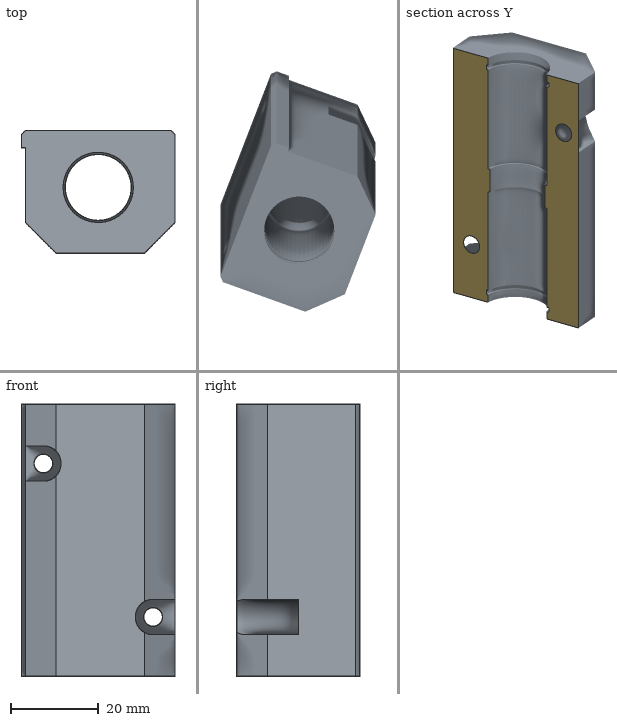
import cadquery as cq

width = 35.0
depth = 28.0
height = 62.0
half_width = width / 2
half_height = height / 2

lip_width = 0.9
lip_depth = 4.0
rear_chamfer = 1.0
front_chamfer = 7.0

shoulder_radius = 7.5
seat_radius = 8.0
seat_depth = 28.0
groove_radius = 8.5
groove_from_end = 2.0
groove_height = 1.0
bore_from_rear = 13.0

pocket_radius = 4.0
pocket_depth = 14.0
screw_hole_radius = 2.1
screw_from_side = 5.0
screw_from_end = 13.5

rear_y = bore_from_rear
front_y = rear_y - depth
wall_x = half_width - lip_width


def make_block():
    """Extruded profile with chamfered corners and the left locating lip."""
    shoulder_y = front_y + front_chamfer
    profile = [
        (-half_width, rear_y - rear_chamfer),
        (-half_width + rear_chamfer, rear_y),
        (half_width - rear_chamfer, rear_y),
        (half_width, rear_y - rear_chamfer),
        (half_width, shoulder_y),
        (half_width - front_chamfer, front_y),
        (-wall_x + front_chamfer, front_y),
        (-wall_x, shoulder_y),
        (-wall_x, rear_y - lip_depth),
        (-half_width, rear_y - lip_depth),
    ]
    block = cq.Workplane("XY").polyline(profile).close().extrude(height)
    return block.translate((0, 0, -half_height))


def bore_cylinder(radius, length):
    """Cylinder on the bore axis, starting at the bottom face."""
    return cq.Workplane("XY").workplane(offset=-half_height).circle(radius).extrude(length)


def make_bore():
    """Through bore with a grooved bearing seat at both ends."""
    bore = bore_cylinder(shoulder_radius, height)
    seat = bore_cylinder(seat_radius, seat_depth)
    groove = bore_cylinder(groove_radius, groove_height).translate((0, 0, groove_from_end))
    lower_end = seat.union(groove)
    return bore.union(lower_end).union(lower_end.mirror("XY"))


def make_screw_pocket(side):
    """Round-ended pocket and screw hole; side is -1 for upper left, 1 for lower right."""
    x = side * (half_width - screw_from_side)
    z = -side * (half_height - screw_from_end)
    front = cq.Workplane("XZ", origin=(x, front_y, z))
    round_end = front.circle(pocket_radius).extrude(-pocket_depth)
    open_end = (
        front.center(side * screw_from_side / 2, 0)
        .rect(screw_from_side, 2 * pocket_radius)
        .extrude(-pocket_depth)
    )
    screw_hole = front.circle(screw_hole_radius).extrude(-depth)
    return round_end.union(open_end).union(screw_hole)


result = make_block().cut(make_bore())
for pocket_side in (-1, 1):
    result = result.cut(make_screw_pocket(pocket_side))